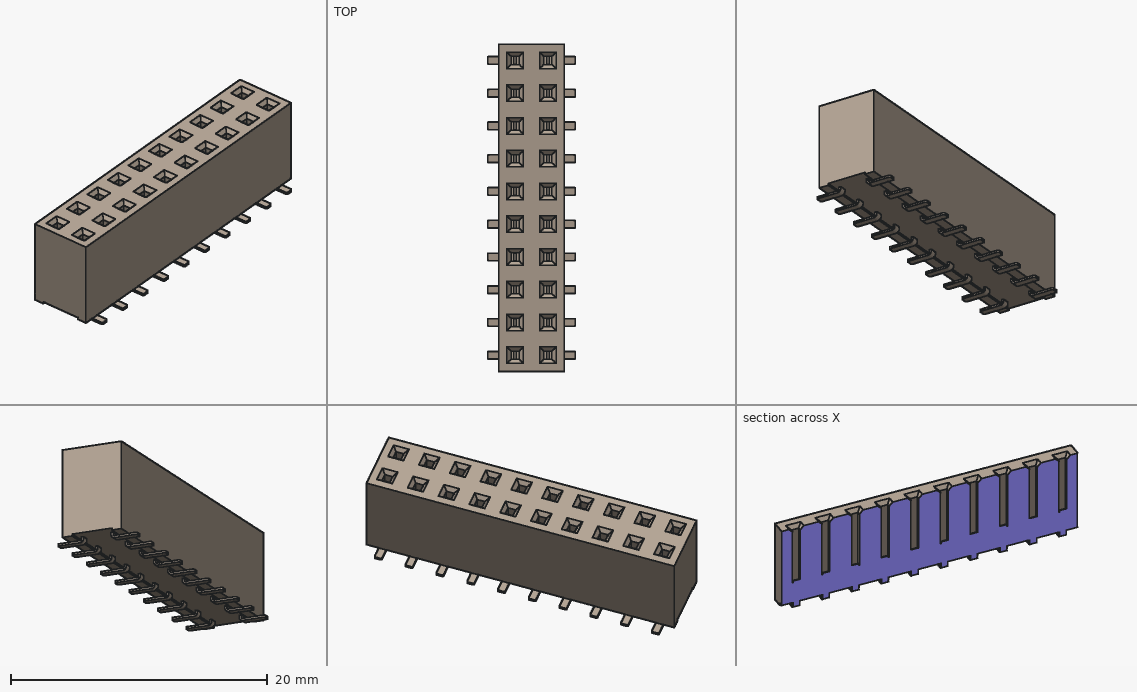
import cadquery as cq

positions = 10
pitch = 2.55
total_height = 7.45
lead_span = 6.8

body_width = 5.08
body_length = positions * pitch
standoff = 0.3
body_height = total_height - standoff
rail_width = 0.85
rail_height = 0.15

mouth_side = 1.27
bore_side = 0.64
lead_in_depth = (mouth_side - bore_side) / 2
socket_depth = 5.08
contact_rise = 0.15

contact_width = 0.6
contact_thickness = 0.18
bend_inner_radius = 0.13
tip_corner_radius = 0.1

row_x = pitch / 2
bore_floor_z = total_height - socket_depth


def make_body():
    """Rectangular housing with a rail left along each long bottom edge."""
    body = (
        cq.Workplane("XY")
        .workplane(offset=standoff)
        .rect(body_width, body_length)
        .extrude(body_height)
    )
    channel = (
        cq.Workplane("XY")
        .workplane(offset=standoff)
        .rect(body_width - 2 * rail_width, body_length)
        .extrude(rail_height)
    )
    return body.cut(channel)


def make_socket():
    """Pyramidal lead-in above a square blind bore, centred on the Z axis."""
    lead_in = (
        cq.Workplane("XY")
        .workplane(offset=total_height)
        .rect(mouth_side, mouth_side)
        .workplane(offset=-lead_in_depth)
        .rect(bore_side, bore_side)
        .loft(ruled=True)
    )
    bore = (
        cq.Workplane("XY")
        .workplane(offset=bore_floor_z)
        .rect(bore_side, bore_side)
        .extrude(socket_depth - lead_in_depth)
    )
    return lead_in.union(bore)


def make_contact():
    """L-shaped strip on the +X side: upright in its bore, foot pointing outwards."""
    inner_x = row_x - contact_thickness / 2
    foot_length = lead_span / 2 - inner_x
    upright_height = bore_floor_z + contact_rise
    upright = (
        cq.Workplane("XY")
        .box(contact_thickness, contact_width, upright_height, centered=(False, True, False))
    )
    foot = (
        cq.Workplane("XY")
        .box(foot_length, contact_width, contact_thickness, centered=(False, True, False))
        .edges("|Z and >X")
        .fillet(tip_corner_radius)
    )
    contact = upright.union(foot)

    bend_outer_radius = bend_inner_radius + contact_thickness
    contact = contact.edges("|Y and <X and <Z").fillet(bend_outer_radius)
    inner_corner = cq.selectors.NearestToPointSelector((contact_thickness, 0, contact_thickness))
    contact = contact.edges("|Y").edges(inner_corner).fillet(bend_inner_radius)
    return contact.translate((inner_x, 0, 0))


body = make_body()
socket = make_socket()
right_contact = make_contact()
left_contact = right_contact.mirror("YZ")

positions_y = [(i - (positions - 1) / 2) * pitch for i in range(positions)]

for y in positions_y:
    for x in (-row_x, row_x):
        body = body.cut(socket.translate((x, y, 0)))

for y in positions_y:
    for contact in (left_contact, right_contact):
        body = body.union(contact.translate((0, y, 0)))

result = body